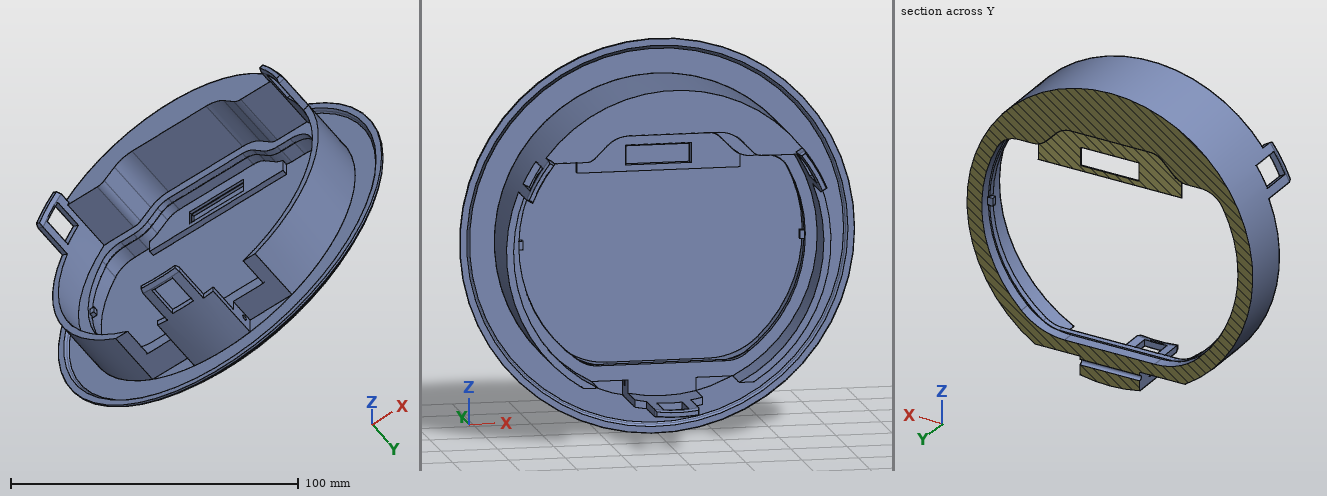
import cadquery as cq
import math


RIM_RADIUS = 70.0
FACE_RADIUS = 65.8
BEVEL_RADIUS = 68.9
BEVEL_DEPTH = 2.0
EDGE_MID = (69.6, 2.4)
EDGE_DEPTH = 3.0
LIP_DEPTH = 3.8
LIP_INNER_RADIUS = 67.6
LIP_STEP = (66.9, 3.0)
SEAT_RADIUS = 66.4
SEAT_DEPTH = 2.4

WALL_RADIUS = 57.5
WALL_DEPTH = 24.0
CROWN_DEPTH = 33.5
SHELF_DEPTH = 12.2
SHELF_WIDTH = 4.2
NOTCH_Z = -49.0
HINGE_WIDTH = 24.1
HINGE_HOLE_DIAMETER = 2.0
HINGE_HOLE_DEPTH = 5.6
HINGE_HOLE_Z = -51.2

OPENING_RADIUS = 50.8
OPENING_BOTTOM = -43.5
SHOULDER_Z = 29.0
BUMP_Z = 37.8
BUMP_HALF_WIDTH = 18.8
BUMP_TOP_FILLET = 6.6
BUMP_FOOT_FILLET = 8.4
SHOULDER_FILLET = 9.1
BOTTOM_FILLET = 11.2
UNDERCUT = 0.5
UNDERCUT_DEPTH = 9.8
UNDERCUT_BOTTOM_FILLET = 25.2

NUB_HEIGHT = 3.1
NUB_REACH = 1.7
NUB_START = 9.2
NUB_END = 11.0

CLIP_ANGLES = (30, 150, 270)
CLIP_WIDTH = 15.7
CLIP_DEPTH = 39.9
CLIP_TIP_START = 38.1
CLIP_TIP_TAPER = 15
WINDOW_WIDTH = 9.0
WINDOW_START = 25.3
WINDOW_END = 37.4

LID_FLOOR_DEPTH = 3.8
LATCH_WIDTH = 57.7
LATCH_BOTTOM = 23.8
LATCH_THICKNESS = 2.1
SLOT_WIDTH = 22.5
SLOT_BOTTOM = 26.0
SLOT_TOP = 32.6
SLOT_STEP = 0.4

WALL_INNER_RADIUS = OPENING_RADIUS + SHELF_WIDTH
BIG = 4 * RIM_RADIUS


def box(x_min, x_max, start, end, z_min, z_max):
    """Box between two depths behind the outer face."""
    size = (x_max - x_min, end - start, z_max - z_min)
    return cq.Workplane("XY").box(*size, centered=False).translate((x_min, -end, z_min))


def disc(radius, start, end):
    """Round plate about the Y axis between two depths."""
    return cq.Workplane("XZ", origin=(0, -start, 0)).circle(radius).extrude(end - start)


def round_pair(body, x, depth, z, radius):
    """Round the two mirrored edges along Y that pass nearest to (+-x, z)."""
    for side in (-1, 1):
        edge = cq.selectors.NearestToPointSelector((side * x, -depth, z))
        body = body.edges("|Y").edges(edge).fillet(radius)
    return body


def bumped_disc(start, end, grow, bottom):
    """Disc cut along the bumped top outline and, at the height `bottom`, along a straight line."""
    radius = OPENING_RADIUS + grow
    top = BUMP_Z + grow
    shoulder = SHOULDER_Z + grow
    bump_x = BUMP_HALF_WIDTH + grow * math.tan(math.radians(22.5))
    foot_x = bump_x + top - shoulder
    outline = [
        (-BIG, bottom), (BIG, bottom), (BIG, shoulder), (foot_x, shoulder),
        (bump_x, top), (-bump_x, top), (-foot_x, shoulder), (-BIG, shoulder),
    ]
    prism = cq.Workplane("XZ", origin=(0, -start, 0)).polyline(outline).close().extrude(end - start)
    middle = (start + end) / 2
    prism = round_pair(prism, bump_x, middle, top, BUMP_TOP_FILLET + grow)
    prism = round_pair(prism, foot_x, middle, shoulder, BUMP_FOOT_FILLET - grow)
    return disc(radius, start, end).intersect(prism)


def opening(start, end, grow, bottom_fillet):
    """Bumped disc with its four outer corners rounded."""
    radius = OPENING_RADIUS + grow
    bottom = OPENING_BOTTOM - grow
    shoulder = SHOULDER_Z + grow
    middle = (start + end) / 2
    body = bumped_disc(start, end, grow, bottom)
    body = round_pair(body, math.sqrt(radius**2 - shoulder**2), middle, shoulder, SHOULDER_FILLET + grow)
    return round_pair(body, math.sqrt(radius**2 - bottom**2), middle, bottom, bottom_fillet)


def undercut(start, end):
    """The wider opening behind the shelf lip, which also outlines the lid floor and the latch."""
    return opening(start, end, UNDERCUT, UNDERCUT_BOTTOM_FILLET)


def make_ring():
    profile = (
        cq.Workplane("XY")
        .moveTo(WALL_RADIUS, 0)
        .lineTo(FACE_RADIUS, 0)
        .lineTo(BEVEL_RADIUS, -BEVEL_DEPTH)
        .threePointArc((EDGE_MID[0], -EDGE_MID[1]), (RIM_RADIUS, -EDGE_DEPTH))
        .lineTo(RIM_RADIUS, -LIP_DEPTH)
        .lineTo(LIP_INNER_RADIUS, -LIP_DEPTH)
        .lineTo(LIP_STEP[0], -LIP_STEP[1])
        .lineTo(SEAT_RADIUS, -SEAT_DEPTH)
        .lineTo(WALL_RADIUS, -SEAT_DEPTH)
        .close()
    )
    return profile.revolve(360, (0, 0, 0), (0, 1, 0))


def turn(body, angle):
    """Turn a body about the Y axis from +X to an angle in the XZ plane."""
    return body.rotate((0, 0, 0), (0, 1, 0), -angle)


def clip_tip(angle):
    """Tapered end of a clip."""
    half = CLIP_WIDTH / 2
    inner_x = math.sqrt(WALL_INNER_RADIUS**2 - half**2)
    outer_x = math.sqrt(WALL_RADIUS**2 - half**2)
    tip = (
        cq.Workplane("XZ", origin=(0, -CLIP_TIP_START, 0))
        .moveTo(inner_x, -half)
        .lineTo(outer_x, -half)
        .threePointArc((WALL_RADIUS, 0), (outer_x, half))
        .lineTo(inner_x, half)
        .threePointArc((WALL_INNER_RADIUS, 0), (inner_x, -half))
        .close()
        .extrude(CLIP_DEPTH - CLIP_TIP_START, taper=CLIP_TIP_TAPER)
    )
    return turn(tip, angle)


def gaps_between_clips():
    """Everything inside the wall end and the crown face, apart from the clips."""
    crown_bottom = SHOULDER_Z + SHELF_WIDTH
    gaps = box(-BIG, BIG, WALL_DEPTH, BIG, -BIG, crown_bottom)
    gaps = gaps.union(box(-BIG, BIG, CROWN_DEPTH, BIG, crown_bottom, BIG))
    half = CLIP_WIDTH / 2
    clip = box(OPENING_RADIUS, RIM_RADIUS, 0, BIG, -half, half)
    for angle in CLIP_ANGLES:
        gaps = gaps.cut(turn(clip, angle))
    return gaps


def clip_window(angle):
    half = WINDOW_WIDTH / 2
    window = box(OPENING_RADIUS, RIM_RADIUS, WINDOW_START, WINDOW_END, -half, half)
    return turn(window, angle)


def make_housing():
    body = disc(WALL_RADIUS, SEAT_DEPTH, CLIP_TIP_START).cut(gaps_between_clips())
    body = body.cut(bumped_disc(SHELF_DEPTH, CROWN_DEPTH, SHELF_WIDTH, -BIG))
    body = body.cut(disc(WALL_INNER_RADIUS, CROWN_DEPTH, CLIP_DEPTH))

    body = body.cut(opening(UNDERCUT_DEPTH, SHELF_DEPTH, 0, BOTTOM_FILLET))
    body = body.cut(undercut(SEAT_DEPTH, UNDERCUT_DEPTH))

    half = HINGE_WIDTH / 2
    for x_min, x_max in ((-BIG, -half), (half, BIG)):
        body = body.cut(box(x_min, x_max, 0, WALL_DEPTH, -BIG, NOTCH_Z))
    hinge_hole = (
        cq.Workplane("YZ", origin=(-half, -HINGE_HOLE_DEPTH, HINGE_HOLE_Z))
        .circle(HINGE_HOLE_DIAMETER / 2)
        .extrude(HINGE_WIDTH)
    )
    body = body.cut(hinge_hole)

    nub_tip = OPENING_RADIUS - NUB_REACH
    nub_root = OPENING_RADIUS + SHELF_WIDTH / 2
    for x_min, x_max in ((-nub_root, -nub_tip), (nub_tip, nub_root)):
        body = body.union(box(x_min, x_max, NUB_START, NUB_END, -NUB_HEIGHT / 2, NUB_HEIGHT / 2))

    for angle in CLIP_ANGLES:
        body = body.cut(clip_window(angle))
        body = body.union(clip_tip(angle), clean=False)
    return body


def make_lid():
    floor = undercut(SEAT_DEPTH, LID_FLOOR_DEPTH)
    return disc(WALL_RADIUS, 0, SEAT_DEPTH).union(floor)


def make_latch():
    half = LATCH_WIDTH / 2
    end = LID_FLOOR_DEPTH + LATCH_THICKNESS
    plate = undercut(LID_FLOOR_DEPTH, end).intersect(
        box(-half, half, LID_FLOOR_DEPTH, end, LATCH_BOTTOM, RIM_RADIUS)
    )
    slot_half = SLOT_WIDTH / 2
    slot = box(-slot_half, slot_half, LID_FLOOR_DEPTH, end, SLOT_BOTTOM, SLOT_TOP)
    step_half = slot_half + SLOT_STEP
    step_start = end - LATCH_THICKNESS / 2
    step = box(-step_half, step_half, step_start, end, SLOT_BOTTOM, SLOT_TOP + SLOT_STEP)
    return plate.cut(slot).cut(step)


ring = make_ring()
housing = make_housing()
lid = make_lid()
latch = make_latch()

result = cq.Compound.makeCompound(
    [ring.val(), housing.solids().val(), lid.solids().val(), latch.solids().val()]
)